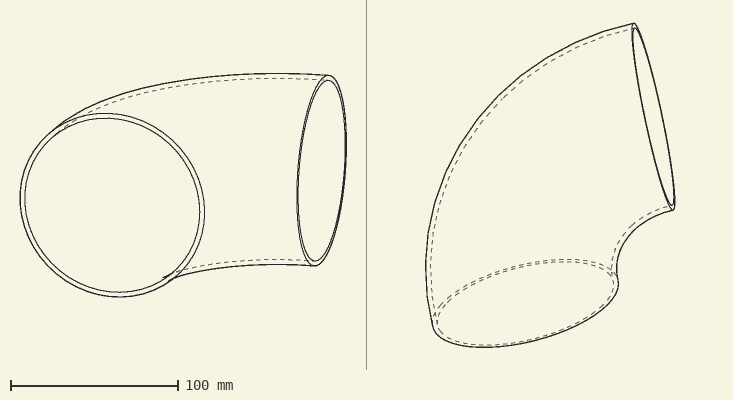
import cadquery as cq

overall_reach = 159.2
pipe_diameter = 114.3
wall_thickness = 3.0
bend_angle = 90.0

pipe_radius = pipe_diameter / 2
bore_radius = pipe_radius - wall_thickness
bend_radius = overall_reach - pipe_radius

pipe_section = (
    cq.Workplane("XZ")
    .center(-bend_radius, 0)
    .circle(pipe_radius)
    .circle(bore_radius)
)

axis_start = (bend_radius, 0)
axis_end = (bend_radius, -1)
result = pipe_section.revolve(bend_angle, axis_start, axis_end)